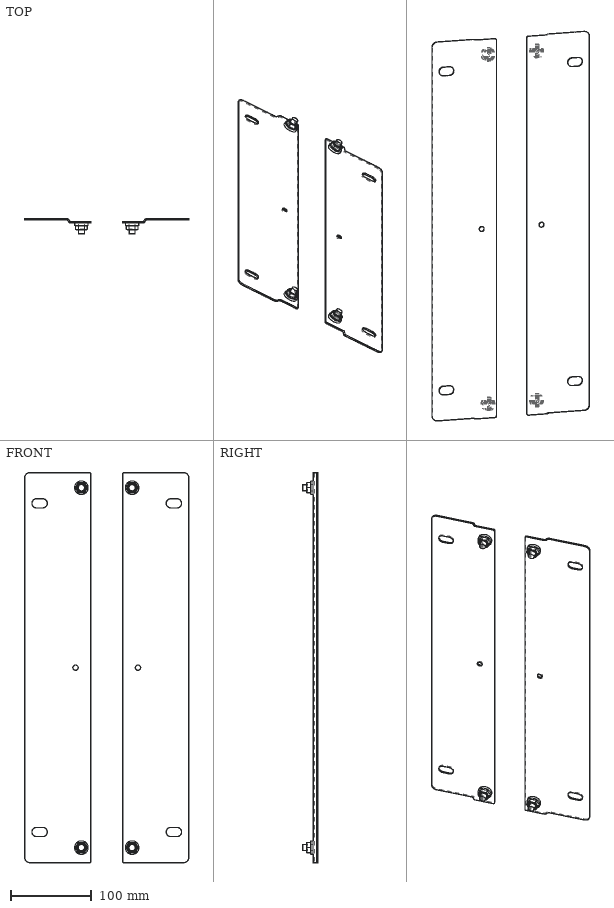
import cadquery as cq
import math

PLATE_LENGTH = 482.5
OUTER_WIDTH = 203.0
INNER_GAP = 39.0
TOTAL_DEPTH = 19.0

PLATE_THICKNESS = 2.0
JOGGLE_OFFSET = 4.0
JOGGLE_ANGLE = 50
JOGGLE_CENTER_X = 47.0
BEND_INNER_RADIUS = 0.5
OUTER_CORNER_RADIUS = 6.8
INNER_CORNER_RADIUS = 2.0

SLOT_LENGTH = 19.0
SLOT_WIDTH = 11.0
SLOT_X = 83.0
SLOT_END_MARGIN = 38.0
CENTER_HOLE_DIAMETER = 6.5
CENTER_HOLE_X = 38.5

STUD_DIAMETER = 7.5
STUD_X = 31.5
STUD_END_MARGIN = 19.0
FLANGE_DIAMETER = 17.0
FLANGE_RIM_THICKNESS = 3.0
FLANGE_CONE_ANGLE = 20
HEX_ACROSS_FLATS = 13.0
HEX_FACE_DIAMETER = 12.0
HEX_CHAMFER_ANGLE = 30
NUT_HEIGHT = 8.0
COUNTERSINK_DIAMETER = 9.5

REAR_FACE_Y = 0
FRONT_FACE_Y = REAR_FACE_Y - JOGGLE_OFFSET - PLATE_THICKNESS
STUD_LENGTH = TOTAL_DEPTH - JOGGLE_OFFSET - PLATE_THICKNESS

SLOT_Z = PLATE_LENGTH / 2 - SLOT_END_MARGIN
STUD_Z = PLATE_LENGTH / 2 - STUD_END_MARGIN
SIDES = (-1, 1)


def through_cutter(sketch):
    """Extrude an XZ sketch symmetrically, far enough to pass through the plate."""
    return sketch.extrude(TOTAL_DEPTH, both=True)


def plate_section(side):
    """Z-shaped sheet section, with bends of constant thickness."""
    inner_edge = INNER_GAP / 2
    outer_edge = OUTER_WIDTH / 2
    half_run = JOGGLE_OFFSET / math.tan(math.radians(JOGGLE_ANGLE)) / 2
    corner_shift = PLATE_THICKNESS * math.tan(math.radians(JOGGLE_ANGLE / 2))
    bend_outer = JOGGLE_CENTER_X + half_run + corner_shift / 2
    bend_inner = JOGGLE_CENTER_X - half_run + corner_shift / 2
    rear_line = [
        (outer_edge, REAR_FACE_Y),
        (bend_outer - corner_shift, REAR_FACE_Y),
        (bend_inner - corner_shift, REAR_FACE_Y - JOGGLE_OFFSET),
        (inner_edge, REAR_FACE_Y - JOGGLE_OFFSET),
    ]
    front_line = [
        (inner_edge, FRONT_FACE_Y),
        (bend_inner, FRONT_FACE_Y),
        (bend_outer, REAR_FACE_Y - PLATE_THICKNESS),
        (outer_edge, REAR_FACE_Y - PLATE_THICKNESS),
    ]
    return [(side * x, y) for x, y in rear_line + front_line]


def make_plate(side):
    """One joggled plate; side is -1 for the left one and +1 for the right one."""
    section = plate_section(side)
    plate = cq.Workplane("XY").polyline(section).close().extrude(PLATE_LENGTH / 2, both=True)

    rear_outer, rear_inner, front_inner, front_outer = (section[i] for i in (1, 2, 5, 6))
    bend_outer_radius = BEND_INNER_RADIUS + PLATE_THICKNESS
    bends = (
        (rear_outer, bend_outer_radius),
        (rear_inner, BEND_INNER_RADIUS),
        (front_inner, bend_outer_radius),
        (front_outer, BEND_INNER_RADIUS),
    )
    for (x, y), radius in bends:
        plate = plate.edges(cq.NearestToPointSelector((x, y, 0))).fillet(radius)

    outer_face, inner_face = (">X", "<X") if side > 0 else ("<X", ">X")
    plate = plate.faces(outer_face).edges("|Y").fillet(OUTER_CORNER_RADIUS)
    plate = plate.faces(inner_face).edges("|Y").fillet(INNER_CORNER_RADIUS)

    slot_centers = [(side * SLOT_X, z) for z in (-SLOT_Z, SLOT_Z)]
    slots = cq.Workplane("XZ").pushPoints(slot_centers).slot2D(SLOT_LENGTH, SLOT_WIDTH)
    hole = cq.Workplane("XZ").center(side * CENTER_HOLE_X, 0).circle(CENTER_HOLE_DIAMETER / 2)
    return plate.cut(through_cutter(slots)).cut(through_cutter(hole))


def front_plane(x, z):
    """Workplane on the plate's inner front face, with its normal along -Y."""
    return cq.Workplane("XZ", origin=(x, FRONT_FACE_Y, z))


def revolved(x, z, profile):
    """Revolve a (radius, height above the plate) profile about the stud axis at x, z."""
    axis_plane = cq.Workplane("XY", origin=(x, FRONT_FACE_Y, z))
    outline = [(radius, -height) for radius, height in profile]
    return axis_plane.polyline(outline).close().revolve(360, (0, 0), (0, 1))


def make_stud(x, z):
    """Plain round stud standing on the plate."""
    return front_plane(x, z).circle(STUD_DIAMETER / 2).extrude(STUD_LENGTH)


def make_nut(x, z):
    """Chamfered hexagon nut with a conical flange and a countersunk bore that fits the stud."""
    across_corners = HEX_ACROSS_FLATS / math.cos(math.pi / 6)
    rim_radius = FLANGE_DIAMETER / 2
    face_radius = HEX_FACE_DIAMETER / 2
    bore_radius = STUD_DIAMETER / 2
    sink_radius = COUNTERSINK_DIAMETER / 2

    cone_height = rim_radius * math.tan(math.radians(FLANGE_CONE_ANGLE))
    cone_tip = FLANGE_RIM_THICKNESS + cone_height
    flange_profile = [(0, 0), (rim_radius, 0), (rim_radius, FLANGE_RIM_THICKNESS), (0, cone_tip)]
    flange = revolved(x, z, flange_profile)

    chamfer_drop = (rim_radius - face_radius) * math.tan(math.radians(HEX_CHAMFER_ANGLE))
    envelope_profile = [
        (0, 0),
        (rim_radius, 0),
        (rim_radius, NUT_HEIGHT - chamfer_drop),
        (face_radius, NUT_HEIGHT),
        (0, NUT_HEIGHT),
    ]
    prism = front_plane(x, z).polygon(6, across_corners).extrude(NUT_HEIGHT)
    hexagon = prism.intersect(revolved(x, z, envelope_profile))

    sink_start = NUT_HEIGHT - (sink_radius - bore_radius)
    bore_profile = [
        (0, 0),
        (bore_radius, 0),
        (bore_radius, sink_start),
        (sink_radius, NUT_HEIGHT),
        (0, NUT_HEIGHT),
    ]
    return flange.union(hexagon).cut(revolved(x, z, bore_profile))


plates = [make_plate(side) for side in SIDES]
stud_places = [(side * STUD_X, z) for side in SIDES for z in (-STUD_Z, STUD_Z)]
studs = [make_stud(x, z) for x, z in stud_places]
nuts = [make_nut(x, z) for x, z in stud_places]

result = cq.Compound.makeCompound([body.val() for body in plates + studs + nuts])